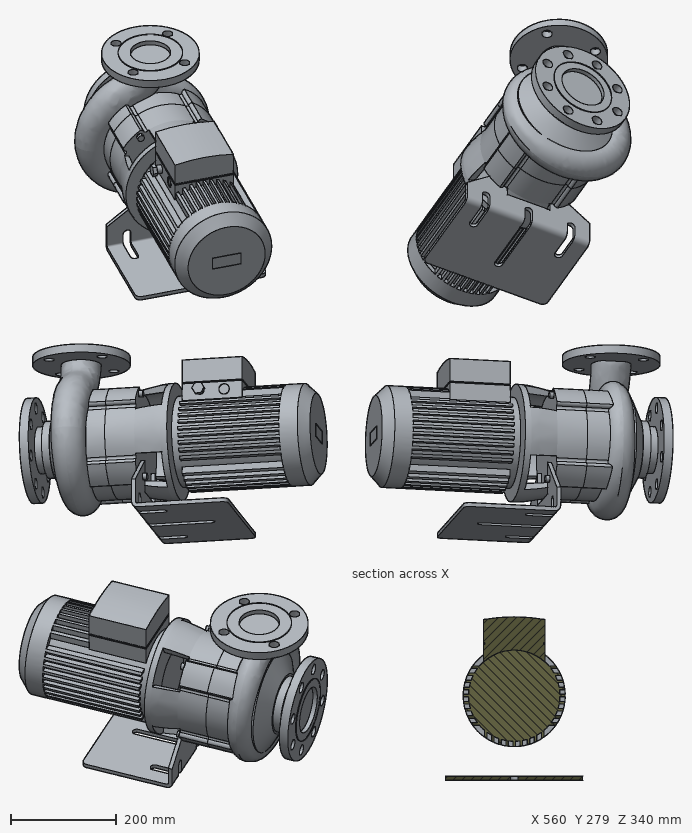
import cadquery as cq
import math


raised_face = 1.5
face_pocket_depth = 9.0

inlet_face_x = -100.0
inlet_flange_dia = 200.0
inlet_flange_back_x = -81.0
inlet_raised_dia = 122.0
inlet_bore_dia = 89.0
inlet_bolt_circle = 160.0
inlet_bolt_hole = 20.0
inlet_bolt_count = 8
inlet_neck_dia = 89.0
inlet_collar_dia = 108.5
inlet_collar_x = -65.5

outlet_face_z = 180.0
outlet_flange_dia = 185.0
outlet_flange_back_z = 162.0
outlet_raised_dia = 122.0
outlet_bore_dia = 76.0
outlet_bolt_circle = 145.0
outlet_bolt_hole = 19.0
outlet_bolt_count = 4

front_cone_x = -50.0
front_cone_small_radius = 59.0
front_cone_end_x = -28.0
casing_front_radius = 100.0

scroll_offset_y = -13.0
scroll_ring_radius = 103.0
scroll_large_radius = 33.0
scroll_small_radius = 26.5
scroll_turn = 270
scroll_narrowing_turn = 180
scroll_step = 30
outlet_pipe_radius = 38.0
outlet_pipe_end_z = 169.0
outlet_end_slant = 0.25
outlet_bend_points = [(-102.0, 51.5), (-68.5, 88.0), (-28.0, 112.0), (-9.5, 137.0)]
outlet_pipe_stations = 10

drum_radius = 102.5
pad_radius = 113.0
pad_edge = (61.0, 95.0)
pad_root_middle = (51.0, 89.0)
pad_root_end = (54.0, 90.0)
pad_shoulder_middle = (56.0, 93.5)
drum_arc_half_width = 47.0

lantern_start_x = 67.0
lantern_face_x = 125.0
lantern_flange_x = 177.0
lantern_flange_end_x = 189.0
lantern_flange_radius = 111.5
rib_inner_start_radius = 93.0
rib_inner_end_radius = 97.5
rib_outer_middle_radius = 108.0
rib_root_z = 78.5
rib_root_half_width = 39.0
rib_rim_half_width = 50.5

bolt_y = 62.0
bolt_z = 82.0
bolt_head_dia = 13.0
bolt_head_length = 8.0
bolt_shank_dia = 9.0
bolt_depth = 28.0

plate_thickness = 8.0
foot_end_x = 310.0
foot_half_width = 130.0
foot_bottom_z = -160.0
bend_inner_radius = 4.0
foot_corner_radius = 11.0
ear_top_z = -45.5
ear_inner_y = 45.5
shoulder_z_far = -113.5
shoulder_z_near = -105.0
ear_gap_bottom_z = -107.5
slot_width = 15.5
slot_pitch = 90.0
slot_top_z = -122.0
side_slot_end_x = 185.0
middle_slot_end_x = 257.5

spigot_dia = 113.0
motor_face_x = 193.0
motor_drum_dia = 173.0
fin_start_x = 207.0
fan_cover_x = 402.5
motor_outer_dia = 193.0
cover_bevel_x = 438.5
cover_end_x = 458.5
cover_end_radius = 77.0
label_end_x = 460.0
label_width = 57.0
label_height = 24.5
fin_pitch = 13.5
fin_thickness = 5.0
fins_per_side = 9

box_length = 116.5
box_half_width = 58.0
box_joint_z = 97.5
lid_bottom_z = 99.5
joint_inset = 2.0
lid_edge_z = 144.0
lid_crown_z = 149.0
gland_x = 242.0
gland_z = 82.5
gland_neck_dia = 16.0
gland_neck_length = 10.5
gland_hex_corners = 23.5
gland_hex_length = 8.5
knockout_dia = 20.0
knockout_depth = 1.5
knockout_spacing = 46.5


def disc(dia, start_x, end_x):
    """Cylinder on the pump axis between two X positions."""
    return cq.Workplane("YZ", origin=(start_x, 0, 0)).circle(dia / 2).extrude(end_x - start_x)


def revolve_about_x(points):
    """Solid of revolution about X from an outline of (x, radius) points."""
    return cq.Workplane("XY").polyline(points).close().revolve(360, (0, 0, 0), (1, 0, 0))


def pipe_flange(dia, thickness, raised_dia, bolt_circle, hole_dia, hole_count):
    """Drilled flange whose back lies at z = 0 and whose raised face points to +Z."""
    first_angle = 180 / hole_count
    plate = cq.Workplane("XY").circle(dia / 2).extrude(thickness - raised_face)
    face = cq.Workplane("XY").circle(raised_dia / 2).extrude(thickness)
    holes = (cq.Workplane("XY")
             .polarArray(bolt_circle / 2, first_angle, 360, hole_count)
             .circle(hole_dia / 2)
             .extrude(thickness))
    return plate.union(face).cut(holes)


def loft_tube(stations):
    """Smooth tube through round sections given as (centre, direction, radius), for a path in the YZ plane."""
    wires = []
    for centre, direction, radius in stations:
        section = cq.Plane(centre, direction.cross(cq.Vector(1, 0, 0)), direction)
        wires.append(cq.Workplane(section).circle(radius).wires().val())
    return cq.Workplane(cq.Solid.makeLoft(wires))


def scroll():
    """Eccentric tube that narrows from the -Y side, under the pump, to the top."""
    stations = []
    for turn in range(0, scroll_turn + 1, scroll_step):
        angle = math.radians(turn)
        centre = cq.Vector(0, scroll_offset_y - scroll_ring_radius * math.cos(angle),
                           -scroll_ring_radius * math.sin(angle))
        direction = cq.Vector(0, math.sin(angle), -math.cos(angle))
        narrowing = min(turn / scroll_narrowing_turn, 1)
        radius = scroll_large_radius - (scroll_large_radius - scroll_small_radius) * narrowing
        stations.append((centre, direction, radius))
    return loft_tube(stations)


def outlet_pipe():
    """S-bend from the wide end of the scroll up to the discharge flange."""
    path = cq.Edge.makeSpline(
        [cq.Vector(0, scroll_offset_y - scroll_ring_radius, 0),
         *[cq.Vector(0, y, z) for y, z in outlet_bend_points],
         cq.Vector(0, 0, outlet_pipe_end_z)],
        tangents=[cq.Vector(0, 0, 1), cq.Vector(0, outlet_end_slant, 1)])
    stations = []
    for index in range(outlet_pipe_stations + 1):
        part = index / outlet_pipe_stations
        radius = scroll_large_radius + (outlet_pipe_radius - scroll_large_radius) * part
        stations.append((path.positionAt(part), path.tangentAt(part), radius))
    return loft_tube(stations)


def drum(start_x, end_x):
    """Drum with four raised diagonal bolt pads, each with a hollow root and a rounded shoulder."""
    arc_height = math.sqrt(drum_radius ** 2 - drum_arc_half_width ** 2)
    pad_middle = pad_radius * math.sqrt(0.5)

    outline = cq.Workplane("YZ", origin=(start_x, 0, 0)).moveTo(arc_height, -drum_arc_half_width)
    for quarter in range(4):
        turn = math.radians(90 * quarter)

        def low(point):
            """Point of the octant below the pad's diagonal, turned to this quarter."""
            z, y = point
            return (y * math.cos(turn) - z * math.sin(turn), y * math.sin(turn) + z * math.cos(turn))

        def high(point):
            """Mirror image of the same point above the pad's diagonal."""
            return low(point[::-1])

        drum_edge = (drum_arc_half_width, arc_height)
        outline = (outline
                   .threePointArc(low((0, drum_radius)), low(drum_edge))
                   .threePointArc(low(pad_root_middle), low(pad_root_end))
                   .threePointArc(low(pad_shoulder_middle), low(pad_edge))
                   .threePointArc(low((pad_middle, pad_middle)), high(pad_edge))
                   .threePointArc(high(pad_shoulder_middle), high(pad_root_end))
                   .threePointArc(high(pad_root_middle), high(drum_edge)))
    return outline.close().extrude(end_x - start_x)


def make_casing():
    """Stepped inlet, front cone, scroll, discharge pipe, rear drum and both pipe flanges."""
    core = revolve_about_x([
        (inlet_flange_back_x, 0),
        (inlet_flange_back_x, inlet_neck_dia / 2),
        (inlet_collar_x, inlet_neck_dia / 2),
        (inlet_collar_x, inlet_collar_dia / 2),
        (front_cone_x, inlet_collar_dia / 2),
        (front_cone_x, front_cone_small_radius),
        (front_cone_end_x, casing_front_radius),
        (0, casing_front_radius),
        (0, 0)])
    inlet_flange = (pipe_flange(inlet_flange_dia, inlet_flange_back_x - inlet_face_x, inlet_raised_dia,
                                inlet_bolt_circle, inlet_bolt_hole, inlet_bolt_count)
                    .rotate((0, 0, 0), (0, 1, 0), -90)
                    .translate((inlet_flange_back_x, 0, 0)))
    outlet_flange = (pipe_flange(outlet_flange_dia, outlet_face_z - outlet_flange_back_z, outlet_raised_dia,
                                 outlet_bolt_circle, outlet_bolt_hole, outlet_bolt_count)
                     .translate((0, 0, outlet_flange_back_z)))
    inlet_pocket = disc(inlet_bore_dia, inlet_face_x, inlet_face_x + face_pocket_depth)
    outlet_pocket = (cq.Workplane("XY", origin=(0, 0, outlet_face_z))
                     .circle(outlet_bore_dia / 2)
                     .extrude(-face_pocket_depth))
    return (core
            .union(drum(0, lantern_start_x))
            .union(scroll())
            .union(outlet_pipe())
            .union(inlet_flange)
            .union(outlet_flange)
            .cut(inlet_pocket)
            .cut(outlet_pocket))


def bolt_places():
    """Bolt seats: on the lantern for the upper pair, on the foot plate for the lower pair."""
    lower_seat_x = lantern_face_x + plate_thickness
    return [(seat_x, y, z)
            for seat_x, z in ((lantern_face_x, bolt_z), (lower_seat_x, -bolt_z))
            for y in (-bolt_y, bolt_y)]


def bolt_shank(seat_x, y, z):
    """Shank from the seat into the lantern, also the shape of its hole."""
    start_x = lantern_face_x - bolt_depth
    return (cq.Workplane("YZ", origin=(start_x, y, z))
            .circle(bolt_shank_dia / 2)
            .extrude(seat_x - start_x))


def make_bolt(seat_x, y, z):
    """Bolt with a round head on its seat."""
    head = (cq.Workplane("YZ", origin=(seat_x, y, z))
            .circle(bolt_head_dia / 2)
            .extrude(bolt_head_length))
    return head.union(bolt_shank(seat_x, y, z))


def make_rib():
    """Rib above the axis: a flared shell with sides that converge toward the axis."""
    rib_length = lantern_flange_x - lantern_face_x
    shell = (cq.Workplane("XY")
             .moveTo(lantern_face_x, rib_inner_start_radius)
             .lineTo(lantern_face_x, drum_radius)
             .threePointArc((lantern_face_x + rib_length / 2, rib_outer_middle_radius),
                            (lantern_flange_x, lantern_flange_radius))
             .lineTo(lantern_flange_x, rib_inner_end_radius)
             .close()
             .revolve(360, (0, 0, 0), (1, 0, 0)))
    wedge = (cq.Workplane("YZ", origin=(lantern_face_x, 0, 0))
             .polyline([(-rib_root_half_width, rib_root_z),
                        (rib_root_half_width, rib_root_z),
                        (rib_rim_half_width, lantern_flange_radius),
                        (-rib_rim_half_width, lantern_flange_radius)])
             .close()
             .extrude(rib_length))
    return shell.intersect(wedge)


def make_lantern():
    """Drum, four flared ribs and the motor flange."""
    lantern = drum(lantern_start_x, lantern_face_x)
    flange = (disc(2 * lantern_flange_radius, lantern_flange_x, lantern_flange_end_x)
              .cut(disc(spigot_dia, lantern_flange_x, lantern_flange_end_x)))
    lantern = lantern.union(flange)
    rib = make_rib()
    for quarter in range(4):
        lantern = lantern.union(rib.rotate((0, 0, 0), (1, 0, 0), 90 * quarter))
    for place in bolt_places():
        lantern = lantern.cut(bolt_shank(*place))
    return lantern


def make_foot():
    """Bent plate: two ears bolted to the lantern, and a slotted base."""
    bend_outer_radius = bend_inner_radius + plate_thickness
    inner_x = lantern_face_x + plate_thickness
    base_top_z = foot_bottom_z + plate_thickness
    angle_plate = (cq.Workplane("XZ", origin=(0, foot_half_width, 0))
                   .moveTo(lantern_face_x, ear_top_z)
                   .lineTo(lantern_face_x, foot_bottom_z + bend_outer_radius)
                   .radiusArc((lantern_face_x + bend_outer_radius, foot_bottom_z), -bend_outer_radius)
                   .lineTo(foot_end_x, foot_bottom_z)
                   .lineTo(foot_end_x, base_top_z)
                   .lineTo(inner_x + bend_inner_radius, base_top_z)
                   .radiusArc((inner_x, base_top_z + bend_inner_radius), bend_inner_radius)
                   .lineTo(inner_x, ear_top_z)
                   .close()
                   .extrude(2 * foot_half_width)
                   .edges("|Z and >X")
                   .fillet(foot_corner_radius))
    ear_outline = (cq.Workplane("YZ", origin=(lantern_face_x, 0, 0))
                   .polyline([(-foot_half_width, foot_bottom_z),
                              (foot_half_width, foot_bottom_z),
                              (foot_half_width, shoulder_z_far),
                              (ear_inner_y, ear_top_z),
                              (ear_inner_y, ear_gap_bottom_z),
                              (-ear_inner_y, ear_gap_bottom_z),
                              (-ear_inner_y, ear_top_z),
                              (-foot_half_width, shoulder_z_near)])
                   .close()
                   .extrude(foot_end_x - lantern_face_x))
    foot = angle_plate.intersect(ear_outline)

    slot_rise = slot_top_z - foot_bottom_z
    for y, slot_end_x in ((-slot_pitch, side_slot_end_x),
                          (0, middle_slot_end_x),
                          (slot_pitch, side_slot_end_x)):
        slot_run = slot_end_x - lantern_face_x
        upright_slot = (cq.Workplane("YZ", origin=(lantern_face_x, y, foot_bottom_z))
                        .slot2D(2 * slot_rise, slot_width, 90)
                        .extrude(plate_thickness + bend_inner_radius))
        base_slot = (cq.Workplane("XY", origin=(lantern_face_x, y, foot_bottom_z))
                     .slot2D(2 * slot_run, slot_width)
                     .extrude(plate_thickness + bend_inner_radius))
        foot = foot.cut(upright_slot).cut(base_slot)
    for place in bolt_places():
        foot = foot.cut(bolt_shank(*place))
    return foot


def motor_fins():
    """Parallel fins on all four sides, trimmed to the round motor outline."""
    length = fan_cover_x - fin_start_x
    centre_x = (fin_start_x + fan_cover_x) / 2
    fins = disc(motor_drum_dia, fin_start_x, fan_cover_x)
    for index in range(fins_per_side):
        offset = fin_pitch * (index - (fins_per_side - 1) / 2)
        level_fin = cq.Workplane("XY").box(length, motor_outer_dia, fin_thickness)
        upright_fin = cq.Workplane("XY").box(length, fin_thickness, motor_outer_dia)
        fins = (fins
                .union(level_fin.translate((centre_x, 0, offset)))
                .union(upright_fin.translate((centre_x, offset, 0))))
    return fins.intersect(disc(motor_outer_dia, fin_start_x, fan_cover_x))


def terminal_box_space():
    """Block over the motor drum that the terminal box takes up."""
    block = (cq.Workplane("XY")
             .box(box_length, 2 * box_half_width, lid_bottom_z, centered=(False, True, False))
             .translate((fin_start_x, 0, 0)))
    return block.cut(disc(motor_drum_dia, fin_start_x, fin_start_x + box_length))


def make_motor():
    """Finned motor with its spigot, front shield, bevelled fan cover and end plate."""
    spigot = disc(spigot_dia, lantern_flange_x, motor_face_x)
    front_shield = disc(motor_drum_dia, motor_face_x, fin_start_x)
    fan_cover = revolve_about_x([
        (fan_cover_x, 0),
        (fan_cover_x, motor_outer_dia / 2),
        (cover_bevel_x, motor_outer_dia / 2),
        (cover_end_x, cover_end_radius),
        (cover_end_x, 0)])
    label = (cq.Workplane("YZ", origin=(cover_end_x, 0, 0))
             .rect(label_width, label_height)
             .extrude(label_end_x - cover_end_x))
    return (motor_fins()
            .cut(terminal_box_space())
            .union(front_shield)
            .union(spigot)
            .union(fan_cover)
            .union(label))


def make_terminal_box():
    """Box saddled on the motor drum, with a recessed joint, a crowned lid and a cable gland."""
    box = terminal_box_space()
    joint_height = lid_bottom_z - box_joint_z
    middle_x = fin_start_x + box_length / 2
    joint_ring = (cq.Workplane("XY", origin=(middle_x, 0, box_joint_z))
                  .rect(box_length, 2 * box_half_width)
                  .rect(box_length - 2 * joint_inset, 2 * (box_half_width - joint_inset))
                  .extrude(joint_height))
    lid = (cq.Workplane("YZ", origin=(fin_start_x, 0, 0))
           .moveTo(-box_half_width, lid_bottom_z)
           .lineTo(box_half_width, lid_bottom_z)
           .lineTo(box_half_width, lid_edge_z)
           .threePointArc((0, lid_crown_z), (-box_half_width, lid_edge_z))
           .close()
           .extrude(box_length))
    side = cq.Workplane("XZ", origin=(gland_x, -box_half_width, gland_z))
    neck = side.circle(gland_neck_dia / 2).extrude(gland_neck_length)
    hexagon = (side.workplane(offset=gland_neck_length)
               .polygon(6, gland_hex_corners)
               .extrude(gland_hex_length))
    knockout = side.center(knockout_spacing, 0).circle(knockout_dia / 2).extrude(-knockout_depth)
    return box.cut(joint_ring).union(lid).union(neck).union(hexagon).cut(knockout)


casing = make_casing()
lantern = make_lantern()
foot = make_foot()
motor = make_motor()
terminal_box = make_terminal_box()
bolts = [make_bolt(*place) for place in bolt_places()]

result = cq.Compound.makeCompound([
    casing.val(),
    lantern.val(),
    foot.val(),
    motor.val(),
    terminal_box.val(),
    *[bolt.val() for bolt in bolts],
])